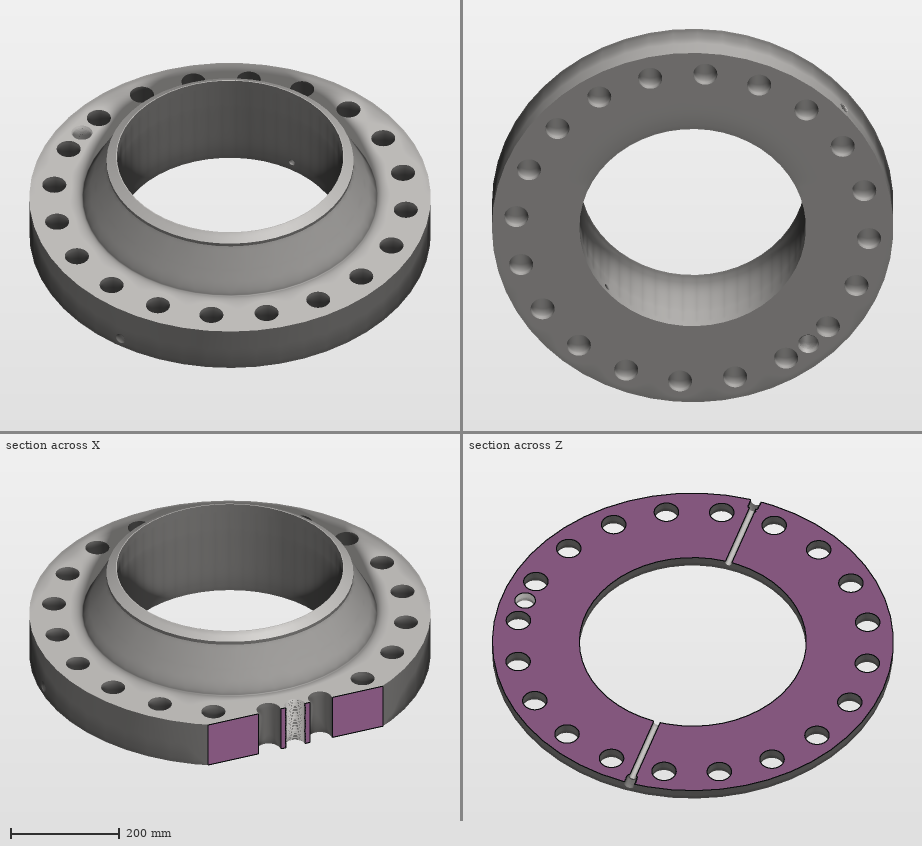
import cadquery as cq
import math

flange_diameter = 742.95
flange_thickness = 90.47
overall_height = 192.07

pipe_diameter = 457.2
pipe_wall = 19.05
bore_diameter = pipe_diameter - 2 * pipe_wall
hub_base_diameter = 546.1
hub_base_fillet = 3.0
weld_neck_length = 18.0
weld_land = 1.6
weld_bevel_angle = 33.0

bolt_circle_diameter = 654.05
bolt_hole_count = 20
bolt_hole_diameter = 44.45

jack_major_diameter = 39.0
jack_minor_diameter = 35.6
jack_pitch = 3.175
jack_position = -bolt_circle_diameter / 2

tap_height = 19.05
tap_bore_diameter = 12.7
tap_major_diameter = 21.3
tap_minor_diameter = 18.6
tap_pitch = 1.814
tap_thread_length = 20.0
tap_diameter_taper = 1 / 16


def flange_body():
    """Revolve the flange ring, tapered hub and bevelled weld end."""
    bore_radius = bore_diameter / 2
    pipe_radius = pipe_diameter / 2
    land_radius = bore_radius + weld_land
    bevel_height = (pipe_radius - land_radius) * math.tan(math.radians(weld_bevel_angle))
    profile = (
        cq.Workplane("XZ")
        .moveTo(bore_radius, 0)
        .lineTo(flange_diameter / 2, 0)
        .lineTo(flange_diameter / 2, flange_thickness)
        .lineTo(hub_base_diameter / 2, flange_thickness)
        .lineTo(pipe_radius, overall_height - weld_neck_length)
        .lineTo(pipe_radius, overall_height - bevel_height)
        .lineTo(land_radius, overall_height)
        .lineTo(bore_radius, overall_height)
        .close()
    )
    body = profile.revolve(360, (0, 0, 0), (0, 1, 0))
    hub_base_edge = cq.selectors.RadiusNthSelector(-2)
    return body.faces("|Z").edges(hub_base_edge).fillet(hub_base_fillet)


def bolt_holes():
    first_angle = 180 / bolt_hole_count
    return (
        cq.Workplane("XY")
        .polarArray(bolt_circle_diameter / 2, first_angle, 360, bolt_hole_count)
        .circle(bolt_hole_diameter / 2)
        .extrude(flange_thickness)
    )


def threaded_hole(plane, major_diameter, minor_diameter, pitch, length, diameter_taper=0.0):
    """Hole along the plane's local Y axis, with ring-shaped V grooves for its thread.

    The hole narrows with depth by diameter_taper, a change of diameter per unit length.
    """

    def wall_point(diameter, depth):
        return ((diameter - diameter_taper * depth) / 2, depth)

    wall = [(0, 0)]
    turn_count = round(length / pitch)
    turn_length = length / turn_count
    for turn in range(turn_count):
        depth = turn * turn_length
        wall.append(wall_point(major_diameter, depth))
        wall.append(wall_point(minor_diameter, depth + turn_length / 2))
    wall.append(wall_point(major_diameter, length))
    wall.append((0, length))
    return cq.Workplane(plane).polyline(wall).close().revolve(360, (0, 0, 0), (0, 1, 0))


def jack_screw_hole():
    plane = cq.Plane(origin=(jack_position, 0, 0), xDir=(1, 0, 0), normal=(0, -1, 0))
    return threaded_hole(plane, jack_major_diameter, jack_minor_diameter, jack_pitch, flange_thickness)


def pressure_tap(side):
    """Radial bore with a tapered thread at the rim; side is -1 or +1 along Y."""
    rim_point = (0, side * flange_diameter / 2, tap_height)
    bore_plane = cq.Plane(origin=rim_point, xDir=(1, 0, 0), normal=(0, -side, 0))
    bore = cq.Workplane(bore_plane).circle(tap_bore_diameter / 2).extrude(flange_diameter / 2)
    thread_plane = cq.Plane(origin=rim_point, xDir=(1, 0, 0), normal=(0, 0, -side))
    thread = threaded_hole(
        thread_plane,
        tap_major_diameter,
        tap_minor_diameter,
        tap_pitch,
        tap_thread_length,
        tap_diameter_taper,
    )
    return bore.union(thread)


result = flange_body().cut(bolt_holes()).cut(jack_screw_hole())
for side in (-1, 1):
    result = result.cut(pressure_tap(side))